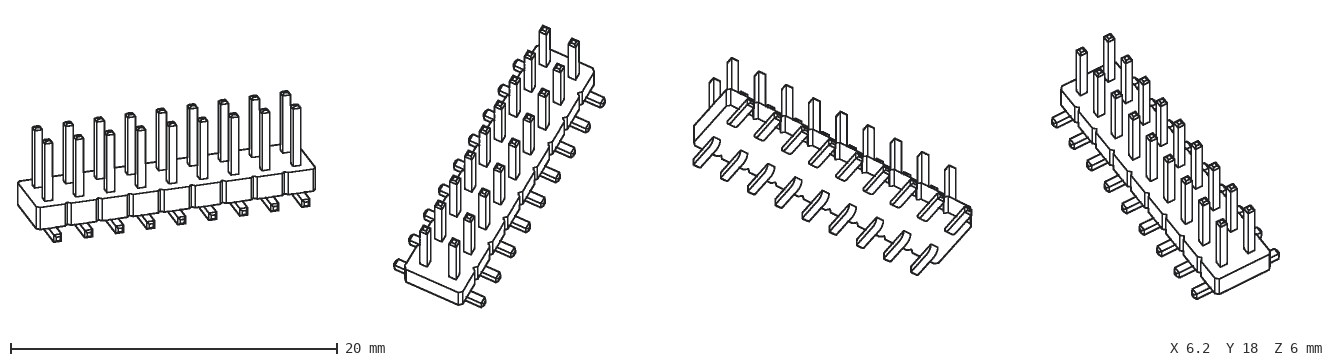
import cadquery as cq

body_length = 18
positions = 9
overall_width = 6.2
corner_cut = 0.2

pitch = body_length / positions
body_width = 2 * pitch
body_height = 3 / 4 * pitch
overall_height = 3 * pitch
row_offset = pitch / 2
pin_positions = [(i - (positions - 1) / 2) * pitch for i in range(positions)]

pin_size = pitch / 4
tip_cut = pin_size / 4
body_bottom = pin_size


def make_body():
    """One chamfered block per position; the meeting chamfers form V-notches."""
    body = cq.Workplane("XY")
    for pin_y in pin_positions:
        block = (
            cq.Workplane("XY", origin=(0, pin_y, body_bottom))
            .rect(body_width, pitch)
            .extrude(body_height)
            .edges("|Z")
            .chamfer(corner_cut)
        )
        body = body.union(block)
    return body


def make_contact():
    """Right-hand contact at Y = 0: upright pin, rounded heel and outward foot."""
    pin_inner = row_offset - pin_size / 2
    pin_outer = row_offset + pin_size / 2
    foot_end = overall_width / 2

    return (
        cq.Workplane("XZ")
        .moveTo(pin_inner, overall_height)
        .lineTo(pin_inner, pin_size)
        .radiusArc((pin_outer, 0), -pin_size)
        .lineTo(foot_end, 0)
        .lineTo(foot_end, pin_size)
        .lineTo(pin_outer, pin_size)
        .lineTo(pin_outer, overall_height)
        .close()
        .extrude(pin_size / 2, both=True)
        .faces(">Z or >X")
        .edges()
        .chamfer(tip_cut)
    )


right_contact = make_contact()
left_contact = right_contact.mirror("YZ")

result = make_body()
for pin_y in pin_positions:
    for contact in (right_contact, left_contact):
        result = result.union(contact.translate((0, pin_y, 0)))
result = result.clean()